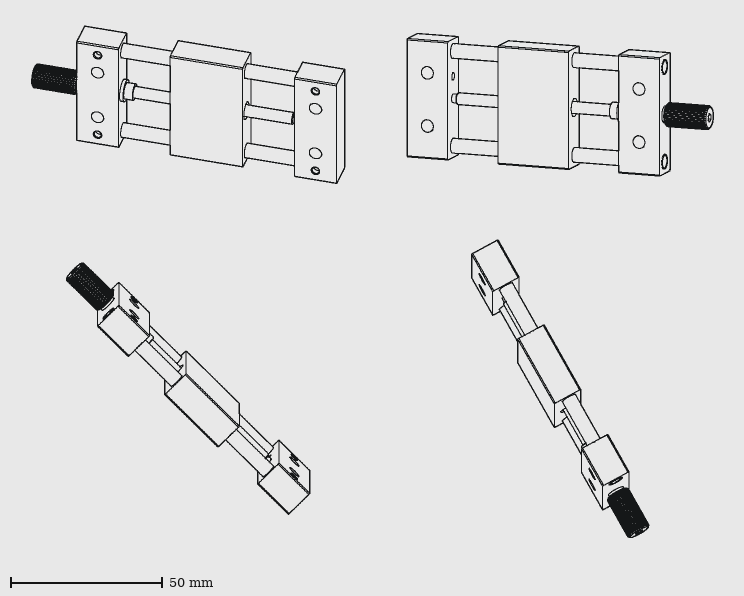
import cadquery as cq
import math

total_length = 105.5
plate_height = 40.0
plate_thickness = 10.0
edge_chamfer = 0.4

block_width = 14.5
left_block_x = 15.9
left_block_end_x = left_block_x + block_width
right_block_x = total_length - block_width

blind_wall = 2.0
bore_end_x = total_length - blind_wall

carriage_length = 25.0
carriage_x = 48.0
carriage_y_offset = 0.5

rod_diameter = 5.0
rod_spacing = 32.0
rod_end_chamfer = 0.3
rod_heights = (-rod_spacing / 2, rod_spacing / 2)

mount_hole_diameter = 4.2
mount_hole_spacing = 17.9
clamp_hole_diameter = 2.4
clamp_hole_depth = 2.1
clamp_hole_mouth_diameter = 3.0
side_hole_diameter = 2.4
side_hole_depth = 4.2
side_hole_height = 7.4

screw_diameter = 4.0
screw_end_x = 89.5
screw_end_chamfer = 0.3
journal_diameter = 3.0
shank_diameter = 5.6
shank_end_x = 34.5
flange_diameter = 7.5
flange_thickness = 1.2
carriage_bore_diameter = 6.0

knob_diameter = 8.0
knob_chamfer = 0.5
knob_length = 15.0
knurl_count = 32
knurl_depth = 0.3
knurl_crest_fraction = 0.5
socket_across_flats = 2.4
socket_depth = 2.5


def rod_along_x(diameter, x_start, x_end, z=0.0):
    """Cylinder parallel to X at height z."""
    return (
        cq.Workplane("YZ", origin=(x_start, 0, z))
        .circle(diameter / 2)
        .extrude(x_end - x_start)
    )


def hole_along_y(diameter, x, z, depth):
    """Cutter that starts at the front (-Y) face of an end block."""
    return (
        cq.Workplane("XZ", origin=(x, -plate_thickness / 2, z))
        .circle(diameter / 2)
        .extrude(-depth)
    )


def make_plate(x_start, width, y_centre, bore_end):
    """Upright plate with its four long X edges chamfered, bored for both rods up to bore_end."""
    plate = (
        cq.Workplane("XY")
        .box(width, plate_thickness, plate_height)
        .edges("|X")
        .chamfer(edge_chamfer)
        .translate((x_start + width / 2, y_centre, 0))
    )
    for z in rod_heights:
        plate = plate.cut(rod_along_x(rod_diameter, x_start, bore_end, z))
    return plate


def make_end_block(x_start, bore_end):
    """Plate with two mounting holes and a clamp hole over each rod."""
    block = make_plate(x_start, block_width, 0, bore_end)
    x_centre = x_start + block_width / 2
    for z in (-mount_hole_spacing / 2, mount_hole_spacing / 2):
        block = block.cut(hole_along_y(mount_hole_diameter, x_centre, z, plate_thickness))
    mouth_depth = (clamp_hole_mouth_diameter - clamp_hole_diameter) / 2
    for z in rod_heights:
        block = block.cut(hole_along_y(clamp_hole_diameter, x_centre, z, clamp_hole_depth))
        mouth = cq.Solid.makeCone(
            clamp_hole_mouth_diameter / 2,
            clamp_hole_diameter / 2,
            mouth_depth,
            cq.Vector(x_centre, -plate_thickness / 2, z),
            cq.Vector(0, 1, 0),
        )
        block = block.cut(cq.Workplane(mouth))
    return block


def make_left_block():
    """Block that the guide rods and the screw shank pass right through."""
    block = make_end_block(left_block_x, left_block_end_x)
    return block.cut(rod_along_x(shank_diameter, left_block_x, left_block_end_x))


def make_right_block():
    """Block with blind seats for the guide rods and the screw journal, and a small side hole."""
    block = make_end_block(right_block_x, bore_end_x)
    block = block.cut(rod_along_x(journal_diameter, right_block_x, bore_end_x))
    side_hole_end = right_block_x + side_hole_depth
    return block.cut(rod_along_x(side_hole_diameter, right_block_x, side_hole_end, side_hole_height))


def make_carriage():
    """Sliding plate with clearance around the screw."""
    carriage_end = carriage_x + carriage_length
    carriage = make_plate(carriage_x, carriage_length, carriage_y_offset, carriage_end)
    return carriage.cut(rod_along_x(carriage_bore_diameter, carriage_x, carriage_end))


def make_rod(z):
    """Guide rod, flush with the left block's outer face and ending inside the right block."""
    rod = rod_along_x(rod_diameter, left_block_x, bore_end_x, z)
    return rod.faces("<X or >X").chamfer(rod_end_chamfer)


def knurl_outline():
    """Points of a toothed circle: each tooth has a flat crest, followed by a V-shaped root."""
    crest_radius = knob_diameter / 2
    root_radius = crest_radius - knurl_depth
    pitch_angle = 2 * math.pi / knurl_count
    half_crest_angle = pitch_angle * knurl_crest_fraction / 2
    points = []
    for i in range(knurl_count):
        tooth_angle = i * pitch_angle
        for radius, angle in (
            (crest_radius, tooth_angle - half_crest_angle),
            (crest_radius, tooth_angle + half_crest_angle),
            (root_radius, tooth_angle + pitch_angle / 2),
        ):
            points.append((radius * math.cos(angle), radius * math.sin(angle)))
    return points


def make_knob():
    """Knob with teeth along X, bevelled ends and a hexagon socket."""
    knurl = cq.Workplane("YZ").polyline(knurl_outline()).close().extrude(knob_length)
    envelope = (
        rod_along_x(knob_diameter, 0, knob_length)
        .faces("<X or >X")
        .chamfer(knob_chamfer)
    )
    socket = (
        cq.Workplane("YZ")
        .polygon(6, socket_across_flats, circumscribed=True)
        .extrude(socket_depth)
    )
    return knurl.intersect(envelope).cut(socket)


def make_screw():
    """Knob, shank, retaining flange, screw and end journal in one piece."""
    thread = (
        rod_along_x(screw_diameter, shank_end_x, screw_end_x)
        .faces(">X")
        .chamfer(screw_end_chamfer)
    )
    return (
        make_knob()
        .union(rod_along_x(shank_diameter, knob_length, shank_end_x))
        .union(rod_along_x(flange_diameter, left_block_end_x, left_block_end_x + flange_thickness))
        .union(thread)
        .union(rod_along_x(journal_diameter, screw_end_x, bore_end_x))
    )


left_block = make_left_block()
right_block = make_right_block()
carriage = make_carriage()
screw = make_screw()
rods = [make_rod(z) for z in rod_heights]

result = cq.Compound.makeCompound(
    [left_block.val(), right_block.val(), carriage.val(), screw.val(), *[rod.val() for rod in rods]]
)